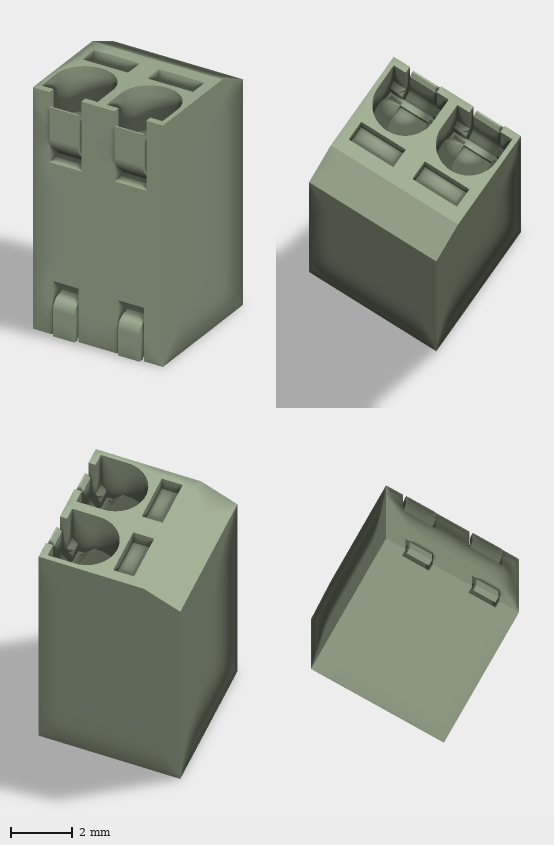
import cadquery as cq
pitch = 2.5
pole_count = 2
width = pole_count * pitch
depth = 5.0
height = 9.0
metal = 0.2
proud = 0.1
upper_leg_front = 0.46
upper_leg_back = upper_leg_front + metal

slope_run = 1.29
slope_drop = 0.59

slot_width = 1.755
slot_front = 2.48
slot_length = 0.74
slot_depth = 0.5
slot_taper = 0.09

mouth_radius = 1.08
mouth_front = 0.25
mouth_center = 1.2
mouth_floor = 7.32
throat_radius = 0.55
throat_floor = mouth_floor - (mouth_radius - throat_radius)

shelf_z = 6.96
trough_width = 1.98
trough_depth = 0.13

window_width = 1.22
window_bottom = 6.39
window_depth = 0.43

upper_width = 1.1
upper_top = 8.505
upper_bevel = 0.135
upper_bend_z = mouth_floor
upper_radius = 0.5
upper_leg_bottom = 6.03

lower_width = 0.83
lower_bend_z = 0.99
lower_radius = 0.43
lower_leg_front = 0.49
lower_leg_top = 2.0
recess_width = 1.03
recess_height = 2.0
recess_depth = 0.46
recess_ramp_height = 0.83
recess_ramp_depth = 0.24

SIN_45 = 0.5 ** 0.5
pole_centers = [(i - (pole_count - 1) / 2) * pitch for i in range(pole_count)]


def side_profile(points):
    """Closed polygon of (Y, Z) points."""
    return cq.Workplane("YZ").polyline(points).close()


def extrude_across(profile, x, x_width):
    """Extrude a closed (Y, Z) profile along X, centred on x."""
    return profile.extrude(x_width / 2, both=True).translate((x, 0, 0))


def u_prism(x, radius, front, bottom):
    """Prism up to the top face: a rectangle closed by a half circle at the rear."""
    return (
        cq.Workplane("XY", origin=(x, 0, bottom))
        .moveTo(-radius, front)
        .lineTo(radius, front)
        .lineTo(radius, mouth_center)
        .threePointArc((0, mouth_center + radius), (-radius, mouth_center))
        .close()
        .extrude(height - bottom)
    )


def make_mouth(x):
    """U-shaped opening with a sloped front lip and the shelf sunk into its floor."""
    rear = mouth_center + mouth_radius
    shelf_drop = mouth_floor - shelf_z
    profile = side_profile([
        (mouth_front, height),
        (mouth_front, mouth_floor + upper_leg_front - mouth_front),
        (upper_leg_front, mouth_floor),
        (upper_leg_front, shelf_z),
        (upper_leg_back, shelf_z),
        (upper_leg_back + shelf_drop, mouth_floor),
        (rear, mouth_floor),
        (rear, height),
    ])
    outline = u_prism(x, mouth_radius, mouth_front, shelf_z)
    return extrude_across(profile, x, 2 * mouth_radius).intersect(outline)


def make_funnel(x):
    """45 degree cone below a cylinder that opens into the mouth."""
    return (
        cq.Workplane("XZ")
        .polyline([
            (0, throat_floor),
            (throat_radius, throat_floor),
            (mouth_radius, mouth_floor),
            (mouth_radius, height),
            (0, height),
        ])
        .close()
        .revolve(360, (0, 0), (0, 1))
        .translate((x, mouth_center, 0))
        .intersect(u_prism(x, mouth_radius, mouth_front, throat_floor))
    )


def make_trough(x):
    profile = side_profile([
        (upper_leg_back - trough_depth, shelf_z),
        (upper_leg_back, shelf_z - trough_depth),
        (upper_leg_back, shelf_z),
    ])
    return extrude_across(profile, x, trough_width)


def make_throat(x):
    return u_prism(x, throat_radius, upper_leg_back, throat_floor)


def make_window(x):
    profile = side_profile([
        (0, window_bottom),
        (window_depth, window_bottom),
        (window_depth, shelf_z),
        (upper_leg_front, shelf_z),
        (upper_leg_front, height),
        (0, height),
    ])
    return extrude_across(profile, x, window_width)


def make_release_slot(x):
    floor = height - slot_depth
    rear = slot_front + slot_length
    profile = side_profile([
        (slot_front, height),
        (slot_front, floor),
        (rear - slot_taper, floor),
        (rear, height),
    ])
    return extrude_across(profile, x, slot_width)


def make_recess(x):
    profile = side_profile([
        (0, 0),
        (recess_ramp_depth, 0),
        (recess_depth, recess_ramp_height),
        (recess_depth, recess_height),
        (0, recess_height),
    ])
    return extrude_across(profile, x, recess_width)


def make_upper_contact(x):
    """Tab that bends back and down at 45 degrees into an upright leg."""
    outer = upper_radius
    inner = outer - metal
    tab_back = metal - proud
    bend_y = outer - proud
    outer_reach = outer * SIN_45
    inner_reach = inner * SIN_45
    ramp_start = (bend_y - outer_reach, upper_bend_z - outer_reach)
    lower_bend_y = upper_leg_front - inner
    ramp_end_y = lower_bend_y + inner_reach
    ramp_end_z = ramp_start[1] - (ramp_end_y - ramp_start[0])
    ramp_back = (bend_y - inner_reach, upper_bend_z - inner_reach)
    profile = (
        cq.Workplane("YZ")
        .moveTo(-proud, upper_top)
        .lineTo(-proud, upper_bend_z)
        .radiusArc(ramp_start, -outer)
        .lineTo(ramp_end_y, ramp_end_z)
        .radiusArc((upper_leg_front, ramp_end_z - inner_reach), inner)
        .lineTo(upper_leg_front, upper_leg_bottom)
        .lineTo(upper_leg_back, upper_leg_bottom)
        .lineTo(upper_leg_back, shelf_z)
        .lineTo(window_depth, shelf_z)
        .lineTo(window_depth, ramp_back[1] - (window_depth - ramp_back[0]))
        .lineTo(*ramp_back)
        .radiusArc((tab_back, upper_bend_z), inner)
        .lineTo(tab_back, upper_top - upper_bevel)
        .lineTo(tab_back - upper_bevel, upper_top)
        .close()
    )
    return extrude_across(profile, x, upper_width)


def make_lower_contact(x):
    """Tab that makes an S bend up into an upright leg."""
    first_outer = lower_radius
    first_inner = first_outer - metal
    middle_y = first_outer - proud
    second_inner = lower_leg_front - middle_y
    second_outer = second_inner + metal
    lower_leg_back = lower_leg_front + metal
    tab_back = metal - proud
    leg_bottom = lower_bend_z + first_outer + second_inner
    profile = (
        cq.Workplane("YZ")
        .moveTo(-proud, 0)
        .lineTo(-proud, lower_bend_z)
        .radiusArc((middle_y, lower_bend_z + first_outer), first_outer)
        .radiusArc((lower_leg_front, leg_bottom), -second_inner)
        .lineTo(lower_leg_front, lower_leg_top)
        .lineTo(lower_leg_back, lower_leg_top)
        .lineTo(lower_leg_back, leg_bottom)
        .radiusArc((middle_y, lower_bend_z + first_inner), second_outer)
        .radiusArc((tab_back, lower_bend_z), -first_inner)
        .lineTo(tab_back, 0)
        .close()
    )
    return extrude_across(profile, x, lower_width)


def make_housing():
    outline = side_profile([
        (0, 0),
        (depth, 0),
        (depth, height - slope_drop),
        (depth - slope_run, height),
        (0, height),
    ])
    body = extrude_across(outline, 0, width)
    cavities = [
        make_mouth,
        make_funnel,
        make_trough,
        make_throat,
        make_window,
        make_release_slot,
        make_recess,
        make_upper_contact,
        make_lower_contact,
    ]
    for x in pole_centers:
        for make_cavity in cavities:
            body = body.cut(make_cavity(x))
    return body


housing = make_housing()
upper_contacts = [make_upper_contact(x) for x in pole_centers]
lower_contacts = [make_lower_contact(x) for x in pole_centers]

result = cq.Compound.makeCompound([
    *housing.solids().vals(),
    *[contact.val() for contact in upper_contacts],
    *[contact.val() for contact in lower_contacts],
])